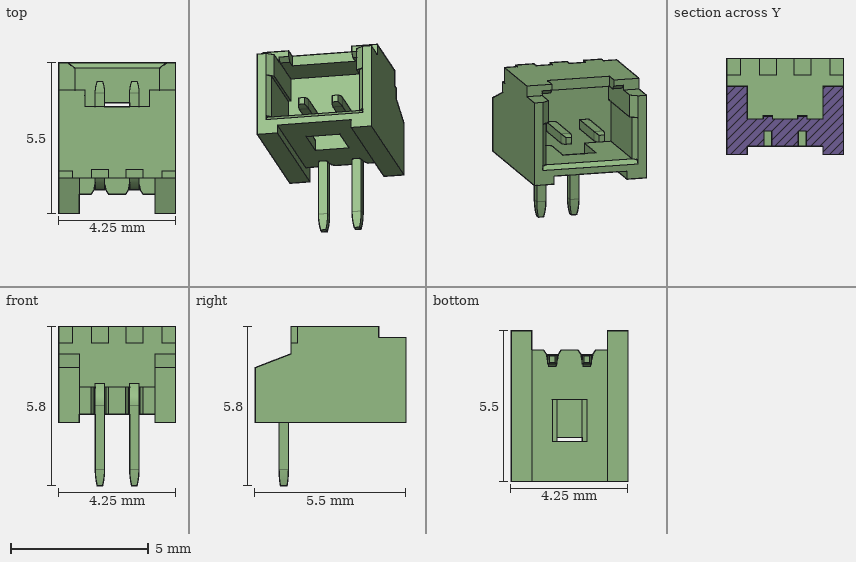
import cadquery as cq
import math


width = 4.25
depth = 5.5
height = 3.5
front_face_y = 1.3
shelf_length = 1.0
shelf_z = 3.1
shelf_start_y = depth - shelf_length

wing_thickness = 0.75
wing_tip_z = 2.0
wing_root_z = 2.5
wing_gap = width - 2 * wing_thickness

channel_height = 0.3
roof_window_width = 2.35
roof_window_end = 1.6

cavity_width = 3.075
lower_cavity_width = 3.265
cavity_front_y = 2.5
cavity_floor_z = 0.7
cavity_ledge_z = 2.275
cavity_roof_z = 3.12
mouth_width = 3.6
mouth_flare_length = 0.2
mouth_flare_height = 0.155
floor_window_end = 1.47

notch_height = 0.6
notch_width = 0.615
notch_depth = 0.3
corner_notch_width = 0.5
corner_notch_depth = 0.25

guide_top_z = 1.3
guide_length = 0.6
gap_tip_half = 0.32
gap_kink_half = 0.215
gap_root_half = 0.135
gap_kink_length = 0.44

pin_pitch = 1.25
pin_size = 0.35
pin_front_y = 0.87
overall_height = 5.8
pin_drop = overall_height - height
bend_radius = 0.96
bend_start_z = 0.625
pin_end_y = 4.8
contact_tip_length = 0.405
tail_tip_length = 0.6
tip_width = 0.205
tip_thickness = 0.25
pin_positions = (-pin_pitch / 2, pin_pitch / 2)


def block(x_size, y_start, y_end, z_start, z_end, x_center=0):
    """Box centred on x_center and spanning the given Y and Z ranges."""
    return cq.Workplane("XY").box(
        x_size, y_end - y_start, z_end - z_start, centered=(True, False, False)
    ).translate((x_center, y_start, z_start))


def prism_along_x(points, x_size):
    """Prism with a (Y, Z) outline, centred on X = 0."""
    return cq.Workplane("YZ").polyline(points).close().extrude(x_size / 2, both=True)


def prism_along_z(points, z_start, z_end):
    """Prism with an (X, Y) outline between two heights."""
    outline = cq.Workplane("XY").workplane(offset=z_start).polyline(points).close()
    return outline.extrude(z_end - z_start)


def make_shell():
    side_profile = [
        (0, 0),
        (depth, 0),
        (depth, shelf_z),
        (shelf_start_y, shelf_z),
        (shelf_start_y, height),
        (front_face_y, height),
        (front_face_y, wing_root_z),
        (0, wing_tip_z),
    ]
    shell = prism_along_x(side_profile, width)
    shell = shell.cut(block(wing_gap, 0, front_face_y, 0, height))
    return shell.cut(block(wing_gap, 0, depth, 0, channel_height))


def cavity_tier(tier_width, z_start, z_end):
    """Straight cavity tier whose sides flare out to the mouth width."""
    flare_start_y = depth - mouth_flare_length
    right_side = [
        (tier_width / 2, cavity_front_y),
        (tier_width / 2, flare_start_y),
        (mouth_width / 2, depth),
    ]
    left_side = [(-x, y) for x, y in reversed(right_side)]
    return prism_along_z(right_side + left_side, z_start, z_end)


def make_cavity():
    cavity = cavity_tier(lower_cavity_width, cavity_floor_z, cavity_ledge_z)
    upper = cavity_tier(cavity_width, cavity_ledge_z, cavity_roof_z)
    floor_flare = prism_along_x(
        [
            (depth - mouth_flare_length, cavity_floor_z),
            (depth, cavity_floor_z),
            (depth, cavity_floor_z - mouth_flare_height),
        ],
        mouth_width,
    )
    roof_flare = prism_along_x(
        [
            (shelf_start_y - mouth_flare_length, cavity_roof_z),
            (shelf_start_y, cavity_roof_z),
            (shelf_start_y, cavity_roof_z + mouth_flare_height),
        ],
        cavity_width,
    )
    return cavity.union(upper).union(floor_flare).union(roof_flare)


def cut_windows(housing):
    roof_window = block(
        roof_window_width, depth - roof_window_end, shelf_start_y, cavity_ledge_z, height
    )
    floor_window = block(pin_pitch, cavity_front_y, depth - floor_window_end, 0, cavity_floor_z)
    return housing.cut(roof_window).cut(floor_window)


def cut_notches(housing):
    notch_z = height - notch_height
    corner_x = (width - corner_notch_width) / 2
    for x in pin_positions:
        notch_end_y = front_face_y + notch_depth
        housing = housing.cut(block(notch_width, front_face_y, notch_end_y, notch_z, height, x))
    for x in (-corner_x, corner_x):
        notch_end_y = front_face_y + corner_notch_depth
        housing = housing.cut(
            block(corner_notch_width, front_face_y, notch_end_y, notch_z, height, x)
        )
    return housing


def make_guide():
    tip_y = front_face_y - guide_length
    guide = block(wing_gap, tip_y, front_face_y, channel_height, guide_top_z)
    right_side = [
        (gap_tip_half, tip_y),
        (gap_kink_half, front_face_y - gap_kink_length),
        (gap_root_half, front_face_y),
    ]
    left_side = [(-x, y) for x, y in reversed(right_side)]
    gap = prism_along_z(right_side + left_side, channel_height, guide_top_z)
    for x in pin_positions:
        guide = guide.cut(gap.translate((x, 0, 0)))
    return guide


def tip_profile(plane, length, end_size):
    """Pin-wide prism pointing along local +Y, narrowed by arcs tangent to its sides."""
    half = pin_size / 2
    end_half = end_size / 2
    inset = half - end_half
    radius = (length**2 + inset**2) / (2 * inset)
    mid_x = half - radius + math.sqrt(radius**2 - (length / 2) ** 2)
    return (
        cq.Workplane(plane)
        .moveTo(-half, 0)
        .lineTo(half, 0)
        .threePointArc((mid_x, length / 2), (end_half, length))
        .lineTo(-end_half, length)
        .threePointArc((-mid_x, length / 2), (-half, 0))
        .close()
        .extrude(half, both=True)
    )


def make_tip(length):
    """Rounded tip pointing along +Y from the origin, narrowed across X and across Z."""
    across_x = tip_profile("XY", length, tip_width)
    upright = cq.Plane(origin=(0, 0, 0), xDir=(0, 0, -1), normal=(1, 0, 0))
    return across_x.intersect(tip_profile(upright, length, tip_thickness))


def make_pin():
    top_z = bend_start_z + bend_radius
    bottom_z = top_z - pin_size
    back_y = pin_front_y + pin_size
    bend_center = (pin_front_y + bend_radius, bend_start_z)
    diagonal = math.sqrt(0.5)

    def on_bend(radius):
        return (bend_center[0] - radius * diagonal, bend_center[1] + radius * diagonal)

    tail_end_z = tail_tip_length - pin_drop
    contact_end_y = pin_end_y - contact_tip_length
    shank = (
        cq.Workplane("YZ")
        .moveTo(pin_front_y, tail_end_z)
        .lineTo(pin_front_y, bend_start_z)
        .threePointArc(on_bend(bend_radius), (bend_center[0], top_z))
        .lineTo(contact_end_y, top_z)
        .lineTo(contact_end_y, bottom_z)
        .lineTo(bend_center[0], bottom_z)
        .threePointArc(on_bend(bend_radius - pin_size), (back_y, bend_start_z))
        .lineTo(back_y, tail_end_z)
        .close()
        .extrude(pin_size / 2, both=True)
    )
    contact_tip = make_tip(contact_tip_length).translate(
        (0, contact_end_y, (top_z + bottom_z) / 2)
    )
    tail_tip = make_tip(tail_tip_length).rotate((0, 0, 0), (1, 0, 0), -90)
    tail_tip = tail_tip.translate((0, (pin_front_y + back_y) / 2, tail_end_z))
    return shank.union(contact_tip).union(tail_tip)


housing = make_shell().cut(make_cavity())
housing = cut_windows(housing)
housing = cut_notches(housing)
result = housing.union(make_guide())
pin = make_pin()
for pin_x in pin_positions:
    result = result.union(pin.translate((pin_x, 0, 0)))